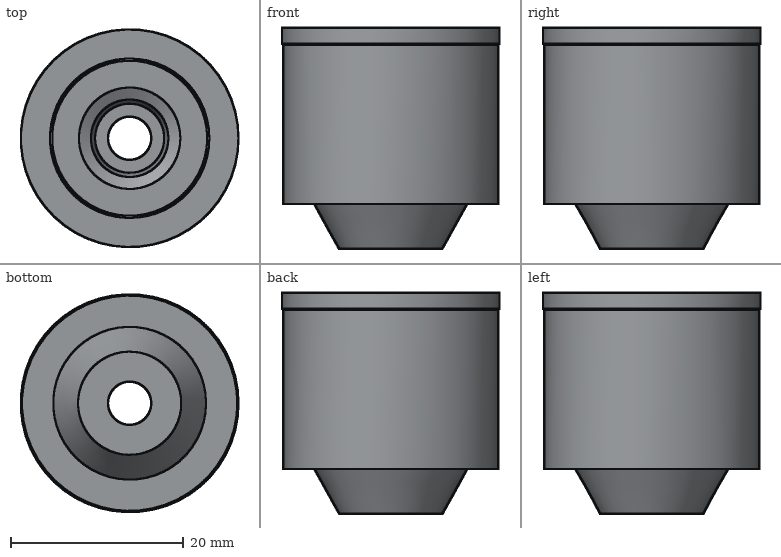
import cadquery as cq

total_height = 25.7
nose_height = 5.2
collar_height = 2.0
upper_bore_depth = 6.75
bore_floor_height = 8.0
countersink_depth = 0.8

collar_radius = 12.65
body_radius = 12.5
nose_root_radius = 8.87
nose_tip_radius = 6.0

upper_bore_radius = 9.25
lower_bore_radius = 9.0
countersink_radius = 5.89
cup_mouth_radius = 4.5
cup_floor_radius = 4.0
outlet_radius = 2.5

collar_bevel = collar_radius - body_radius
cup_floor_height = nose_height

collar_bottom = total_height - collar_height


def revolve_about_z(half_profile):
    """Turn a closed radius-height profile around the Z axis."""
    return half_profile.close().revolve(360, (0, 0, 0), (0, 1, 0))


def make_outer_body():
    """Solid collar, cylindrical body and conical nose."""
    profile = (
        cq.Workplane("XZ")
        .lineTo(nose_tip_radius, 0)
        .lineTo(nose_root_radius, nose_height)
        .lineTo(body_radius, nose_height)
        .lineTo(body_radius, collar_bottom)
        .lineTo(collar_radius, collar_bottom + collar_bevel)
        .lineTo(collar_radius, total_height)
        .lineTo(0, total_height)
    )
    return revolve_about_z(profile)


def make_cavity():
    """Stepped bore, countersink, tapered cup and outlet hole as one tool."""
    ledge_height = total_height - upper_bore_depth
    profile = (
        cq.Workplane("XZ")
        .lineTo(outlet_radius, 0)
        .lineTo(outlet_radius, cup_floor_height)
        .lineTo(cup_floor_radius, cup_floor_height)
        .lineTo(cup_mouth_radius, bore_floor_height - countersink_depth)
        .lineTo(countersink_radius, bore_floor_height)
        .lineTo(lower_bore_radius, bore_floor_height)
        .lineTo(lower_bore_radius, ledge_height)
        .lineTo(upper_bore_radius, ledge_height)
        .lineTo(upper_bore_radius, total_height)
        .lineTo(0, total_height)
    )
    return revolve_about_z(profile)


result = make_outer_body().cut(make_cavity())